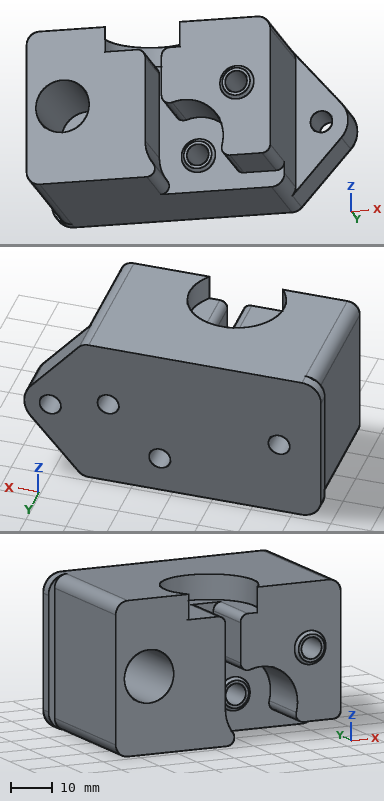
import cadquery as cq
import math

total_length = 74.3
body_depth = 36.35
height = 38.2
body_left = 1.6
body_right = 61.45
body_corner_radius = 3.2

flange_thickness = 3.0
flange_corner_radius = body_left + body_corner_radius
ear_thickness = 9.9
ear_radius = 6.55

screw_hole_radius = 2.7
screw_head_radius = 6.55
left_screw_x = 10.5
ear_screw_x = total_length - ear_radius

pivot_hole_radius = 2.7
boss_base_radius = 4.15
boss_height = 0.75
boss_top_radius = boss_base_radius - boss_height
pocket_pivot = (40.35, -10.0)
face_pivot = (53.3, 3.0)

pocket_depth = 14.8
pocket_radius = 9.6
slot_width = 4.0
sill_height = 4.0
edge_radius = 2.0

recess_radius = 11.8
recess_depth = 6.25
recess_x = 30.1
recess_y = 7.5

top = height / 2
bottom = -height / 2


def front_plane(y):
    """Sketch plane at depth y: x right, z up, positive extrusion toward the front (-y)."""
    return cq.Workplane("XZ", origin=(0, y, 0))


def cylinder(x, z, radius, y_start, y_end):
    """Cylinder along y between two depths."""
    return front_plane(y_start).center(x, z).circle(radius).extrude(y_start - y_end)


def rounded_block(left, right, radius, y_start, y_end):
    """Full-height block along y with its four long edges rounded."""
    block = cq.Workplane("XY").box(right - left, y_end - y_start, height, centered=False)
    return block.translate((left, y_start, bottom)).edges("|Y").fillet(radius)


def mounting_ear():
    """Ear whose straight sides are tangent to the body corners and to the round tip."""
    corner_x = body_right - body_corner_radius
    corner_z = top - body_corner_radius
    run = ear_screw_x - corner_x
    center_distance = math.hypot(run, corner_z)
    normal = math.atan2(corner_z, run) - math.asin((ear_radius - body_corner_radius) / center_distance)
    normal_x = math.sin(normal)
    normal_z = math.cos(normal)
    body_point = (corner_x + body_corner_radius * normal_x, corner_z + body_corner_radius * normal_z)
    tip_point = (ear_screw_x + ear_radius * normal_x, ear_radius * normal_z)
    return (
        front_plane(body_depth)
        .moveTo(corner_x, -body_point[1])
        .lineTo(corner_x, body_point[1])
        .lineTo(*body_point)
        .lineTo(*tip_point)
        .threePointArc((total_length, 0), (tip_point[0], -tip_point[1]))
        .lineTo(body_point[0], -body_point[1])
        .close()
        .extrude(ear_thickness)
    )


def lever_pocket():
    """Slot dropping from the recess into a round chamber that opens below and to the right."""
    pivot_x, pivot_z = pocket_pivot
    slot_left = pivot_x - pocket_radius
    slot_right = slot_left + slot_width
    slot_top = top - recess_depth
    sill = bottom + sill_height
    r = edge_radius
    reach = pocket_radius + r

    def chamber_point(center):
        share = pocket_radius / reach
        return (pivot_x + (center[0] - pivot_x) * share, pivot_z + (center[1] - pivot_z) * share)

    toe_z = bottom + r
    toe = (pivot_x - math.sqrt(reach**2 - (toe_z - pivot_z) ** 2), toe_z)
    heel_z = sill + r
    heel = (pivot_x + math.sqrt(reach**2 - (heel_z - pivot_z) ** 2), heel_z)
    neck_x = slot_right + r
    neck = (neck_x, pivot_z + math.sqrt(reach**2 - (neck_x - pivot_x) ** 2))

    return (
        front_plane(0)
        .moveTo(slot_left - r, slot_top)
        .radiusArc((slot_left, slot_top - r), r)
        .lineTo(slot_left, pivot_z)
        .radiusArc(chamber_point(toe), -pocket_radius)
        .radiusArc((toe[0], bottom), r)
        .lineTo(body_right, bottom)
        .lineTo(body_right, sill + r)
        .radiusArc((body_right - r, sill), r)
        .lineTo(heel[0], sill)
        .radiusArc(chamber_point(heel), r)
        .radiusArc(chamber_point(neck), -pocket_radius)
        .radiusArc((slot_right, neck[1]), r)
        .lineTo(slot_right, slot_top - r)
        .radiusArc((slot_right + r, slot_top), r)
        .close()
        .extrude(-pocket_depth)
    )


def pivot_boss(pivot, base_y):
    """Conical boss rising toward the front from a face at depth base_y."""
    x, z = pivot
    return (
        front_plane(base_y)
        .center(x, z)
        .circle(boss_base_radius)
        .workplane(offset=boss_height)
        .circle(boss_top_radius)
        .loft(ruled=True)
    )


body = rounded_block(body_left, body_right, body_corner_radius, 0, body_depth)
flange = rounded_block(
    0, body_right - body_corner_radius, flange_corner_radius, body_depth - flange_thickness, body_depth
)
result = body.union(flange).union(mounting_ear())

recess = cq.Workplane("XY", origin=(recess_x, recess_y, top)).circle(recess_radius).extrude(-recess_depth)
result = result.cut(recess).cut(lever_pocket())

for pivot, base_y in ((pocket_pivot, pocket_depth), (face_pivot, 0)):
    result = result.union(pivot_boss(pivot, base_y))
    result = result.cut(cylinder(*pivot, pivot_hole_radius, -boss_height, body_depth))

for screw_x in (left_screw_x, ear_screw_x):
    result = result.cut(cylinder(screw_x, 0, screw_hole_radius, 0, body_depth))
result = result.cut(cylinder(left_screw_x, 0, screw_head_radius, 0, body_depth - ear_thickness))